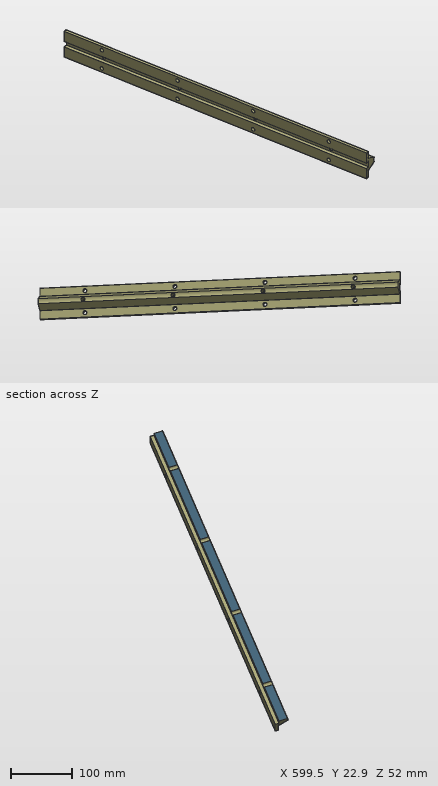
import cadquery as cq

length = 599.5
total_depth = 22.9
flange_width = 52.0

flange_thickness = 5.6
groove_width = 11.0
groove_depth = 6.5
rib_root_width = 24.0
rib_root_depth = 7.0
cradle_width = 8.5
shaft_diameter = 16.0

hole_diameter = 6.4
hole_pitch = 150.0
hole_columns = 4
hole_row_spacing = 37.0


def make_profile_bar():
    """Extrude the symmetric cross-section along the full length."""
    shaft_radius = shaft_diameter / 2
    cradle_half = cradle_width / 2
    cradle_sagitta = shaft_radius - (shaft_radius**2 - cradle_half**2) ** 0.5
    flange_half = flange_width / 2
    root_half = rib_root_width / 2
    groove_half = groove_width / 2
    return (
        cq.Workplane("YZ")
        .moveTo(0, groove_half)
        .lineTo(0, flange_half)
        .lineTo(flange_thickness, flange_half)
        .lineTo(flange_thickness, root_half)
        .lineTo(rib_root_depth, root_half)
        .lineTo(total_depth, cradle_half)
        .threePointArc((total_depth - cradle_sagitta, 0), (total_depth, -cradle_half))
        .lineTo(rib_root_depth, -root_half)
        .lineTo(flange_thickness, -root_half)
        .lineTo(flange_thickness, -flange_half)
        .lineTo(0, -flange_half)
        .lineTo(0, -groove_half)
        .lineTo(groove_depth, -groove_half)
        .lineTo(groove_depth, groove_half)
        .close()
        .extrude(length / 2, both=True)
    )


def make_hole_cutters():
    """Through holes along Y: one row in each flange and one through the rib."""
    first_column = -hole_pitch * (hole_columns - 1) / 2
    row_heights = (-hole_row_spacing / 2, 0, hole_row_spacing / 2)
    centers = [
        (first_column + column * hole_pitch, height)
        for column in range(hole_columns)
        for height in row_heights
    ]
    return cq.Workplane("XZ").pushPoints(centers).circle(hole_diameter / 2).extrude(-total_depth)


result = make_profile_bar().cut(make_hole_cutters())